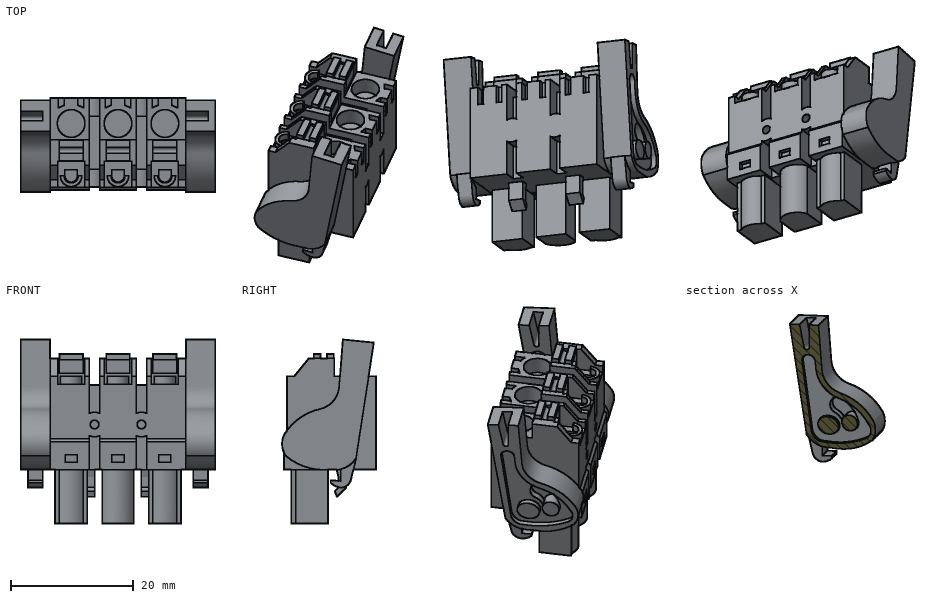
import cadquery as cq


overall_width = 31.68

pole_pitch = 7.62
pole_centers = [-pole_pitch, 0, pole_pitch]
slot_centers = [-pole_pitch / 2, pole_pitch / 2]
housing_width = 22.1
housing_half = housing_width / 2
front_y = -14.5
lip_y = -15.0
housing_top = 15.2
lip_top = 5.05
lip_chamfer = front_y - lip_y

tower_top = 18.1
tower_back = -6.78
tower_slope_back = -10.95
tower_slope_front = -13.3

slot_width = 1.68
slot_depth = 2.95
web_top = 13.8
column_radius = 2.0
column_z = 7.35
column_hole_diameter = 1.4

channel_width = 4.45
channel_back = -10.25
channel_floor = 13.95
collar_y = -12.67
collar_height = housing_top - channel_floor
collar_outer_radius = 1.75
collar_inner_radius = 1.15
entry_radius = 1.0
entry_back = -11.7
entry_depth = 0.63

wire_hole_diameter = 4.5
wire_hole_y = -4.15
wire_hole_depth = 2.88
notch_inner_x = 1.1
notch_outer_x = 2.05
notch_inner_length = 1.17
notch_outer_length = 1.6
notch_depth = wire_hole_depth
window_width = 2.0
window_bottom = 1.2
window_top = 2.4
window_depth = 0.8

outer_plug_width = 5.3
center_plug_width = 5.15
plug_length = 8.78
plug_back = -7.8
plug_front = -13.8
outer_plug_shoulder_y = -13.08
center_plug_shoulder_y = -12.13
outer_plug_bulge = 3.85
latch_width = 2.45
latch_inner_x = 3.77

button_width = 3.85
button_bottom = 15.68
button_top = 18.82
button_inset = 0.1
rib_width = 1.15
recess_depth = 0.85
recess_top = 17.87
button_groove_radius = 0.48

lever_width = (overall_width - housing_width) / 2
lever_starts = [-overall_width / 2, housing_half]
pocket_depth = 0.92
pivot_y = -7.05
pivot_z = 3.9
pivot_half_length = 1.85
pivot_half_height = 1.55
stop_radius = 1.4
stop_y = -10.77
stop_z = 4.8
track_end_y = -8.6
track_end_z = 7.4
track_depth = 1.25
grip_notch_depth = 3.6
hook_width = 2.45


def box(x_min, x_max, y_min, y_max, z_min, z_max):
    """Block between two corners."""
    size = (x_max - x_min, y_max - y_min, z_max - z_min)
    return cq.Workplane("XY").box(*size, centered=False).translate((x_min, y_min, z_min))


def centered_box(x, width, y_min, y_max, z_min, z_max):
    """Block centred on x."""
    return box(x - width / 2, x + width / 2, y_min, y_max, z_min, z_max)


def side_plane(x):
    """YZ work plane at x, on which extrusions run toward +X."""
    return cq.Workplane("YZ", origin=(x, 0, 0))


def housing_block():
    """Extruded side profile with towers, front slope and chamfered lip."""
    profile = [
        (0, 0),
        (lip_y, 0),
        (lip_y, lip_top - lip_chamfer),
        (front_y, lip_top),
        (front_y, housing_top),
        (tower_slope_front, housing_top),
        (tower_slope_back, tower_top),
        (tower_back, tower_top),
        (tower_back, housing_top),
        (0, housing_top),
    ]
    return side_plane(-housing_half).polyline(profile).close().extrude(housing_width)


def pole_slot(x):
    """Slot between two poles: open above the web, and cut into front and back around a round column."""
    above_web = centered_box(x, slot_width, lip_y, 0, web_top, tower_top)
    front_slot = centered_box(x, slot_width, lip_y, front_y + slot_depth, 0, web_top)
    back_slot = centered_box(x, slot_width, -slot_depth, 0, 0, web_top)
    column = cq.Workplane("XZ", origin=(x, 0, column_z)).circle(column_radius).extrude(-front_y)
    slot = above_web.union(front_slot.union(back_slot).cut(column))
    hole = (
        cq.Workplane("XZ", origin=(x, front_y + slot_depth, column_z))
        .circle(column_hole_diameter / 2)
        .extrude(slot_depth)
    )
    return slot.union(hole)


def wire_hole(x):
    """Blind round hole behind the tower."""
    bottom = housing_top - wire_hole_depth
    return (
        cq.Workplane("XY", origin=(x, wire_hole_y, bottom))
        .circle(wire_hole_diameter / 2)
        .extrude(wire_hole_depth)
    )


def back_notch(x, side):
    """Slanted notch in the top back edge, on one side of a pole."""
    inner_x = x + side * notch_inner_x
    outer_x = x + side * notch_outer_x
    outline = [
        (inner_x, 0),
        (outer_x, 0),
        (outer_x, -notch_outer_length),
        (inner_x, -notch_inner_length),
    ]
    return (
        cq.Workplane("XY", origin=(0, 0, housing_top - notch_depth))
        .polyline(outline)
        .close()
        .extrude(notch_depth)
    )


def front_channel(x):
    """Channel in front of the tower, less the half-ring collar that stands on its floor."""
    channel = centered_box(x, channel_width, front_y, channel_back, channel_floor, tower_top)
    ring = (
        cq.Workplane("XY", origin=(x, collar_y, channel_floor))
        .circle(collar_outer_radius)
        .circle(collar_inner_radius)
        .extrude(collar_height)
    )
    front_half = centered_box(x, channel_width, front_y, collar_y, channel_floor, housing_top)
    return channel.cut(ring.intersect(front_half))


def channel_entry(x):
    """U-shaped recess in the channel floor, inside the collar."""
    return (
        cq.Workplane("XY", origin=(x, 0, channel_floor - entry_depth))
        .moveTo(-entry_radius, entry_back)
        .lineTo(-entry_radius, collar_y)
        .threePointArc((0, collar_y - entry_radius), (entry_radius, collar_y))
        .lineTo(entry_radius, entry_back)
        .close()
        .extrude(entry_depth)
    )


def button_slot(x):
    """Slot through the tower that holds the push button."""
    return centered_box(x, button_width, channel_back, tower_back, button_bottom, tower_top)


def front_window(x):
    """Rectangular recess in the lip."""
    return centered_box(x, window_width, lip_y, lip_y + window_depth, window_bottom, window_top)


def plug(x, width, shoulder_y, bulge_width):
    """Plug below one pole, with an arched bulge on its front."""
    body = centered_box(x, width, shoulder_y, plug_back, -plug_length, 0)
    bulge = (
        cq.Workplane("XY", origin=(x, 0, -plug_length))
        .moveTo(-bulge_width / 2, shoulder_y)
        .threePointArc((0, plug_front), (bulge_width / 2, shoulder_y))
        .close()
        .extrude(plug_length)
    )
    return body.union(bulge)


def latch(x_min):
    """Barbed latch hanging from the underside of the housing."""
    profile = [
        (-4.88, 0),
        (-6.43, 0),
        (-6.1, -1.2),
        (-6.1, -2.88),
        (-6.72, -3.5),
        (-6.37, -4.45),
        (-4.88, -2.95),
    ]
    return side_plane(x_min).polyline(profile).close().extrude(latch_width)


def make_housing():
    housing = housing_block()
    for x in slot_centers:
        housing = housing.cut(pole_slot(x))
    for x in pole_centers:
        housing = housing.cut(wire_hole(x))
        housing = housing.cut(back_notch(x, -1)).cut(back_notch(x, 1))
        housing = housing.cut(front_channel(x)).cut(channel_entry(x))
        housing = housing.cut(button_slot(x)).cut(front_window(x))
    for x in (-pole_pitch, pole_pitch):
        housing = housing.union(plug(x, outer_plug_width, outer_plug_shoulder_y, outer_plug_bulge))
    housing = housing.union(plug(0, center_plug_width, center_plug_shoulder_y, center_plug_width))
    for x_min in (-latch_inner_x - latch_width, latch_inner_x):
        housing = housing.union(latch(x_min))
    return housing


def make_button(x):
    """Push button: recessed front, two ribs on top and a round groove between them."""
    rib_back = tower_back - button_inset
    rib_front = channel_back + button_inset
    profile = [
        (tower_back, button_bottom),
        (channel_back + recess_depth, button_bottom),
        (channel_back + recess_depth, recess_top),
        (rib_front, recess_top),
        (rib_front, button_top),
        (rib_front + rib_width, button_top),
        (rib_front + rib_width, tower_top),
        (rib_back - rib_width, tower_top),
        (rib_back - rib_width, button_top),
        (rib_back, button_top),
        (rib_back, tower_top),
        (tower_back, tower_top),
    ]
    left_x = x - button_width / 2
    button = side_plane(left_x).polyline(profile).close().extrude(button_width)
    groove = (
        side_plane(left_x)
        .center((rib_front + rib_back) / 2, tower_top)
        .circle(button_groove_radius)
        .extrude(button_width)
    )
    return button.cut(groove)


def lever_body(x):
    """Handle that widens into a rounded cam."""
    return (
        side_plane(x)
        .moveTo(-0.35, 20.7)
        .lineTo(-5.42, 21.2)
        .lineTo(-6.02, 13.43)
        .tangentArcPoint((-9.1, 9.9), relative=False)
        .tangentArcPoint((-14.92, 5.75), relative=False)
        .threePointArc((-15.3, 4.0), (-14.7, 2.28))
        .threePointArc((-12.05, 0.65), (-8.6, 0))
        .lineTo(-6.05, 0)
        .threePointArc((-4.53, 0.6), (-3.25, 1.85))
        .close()
        .extrude(lever_width)
    )


def lever_pocket(x):
    """Shallow pocket in the -X face that follows the lever outline."""
    return (
        side_plane(x)
        .moveTo(-2.55, 14.67)
        .threePointArc((-3.67, 15.7), (-4.78, 14.55))
        .lineTo(-4.9, 13.25)
        .threePointArc((-5.95, 10.77), (-8.93, 8.8))
        .threePointArc((-11.82, 7.48), (-13.97, 5.07))
        .threePointArc((-14.4, 3.77), (-13.62, 2.57))
        .threePointArc((-10.95, 1.5), (-7.98, 0.95))
        .lineTo(-5.7, 0.95)
        .threePointArc((-4.65, 1.58), (-4.18, 2.5))
        .close()
        .extrude(pocket_depth)
    )


def grip_notch(x):
    """Tapered notch with a round bottom, open at the top and at the -X face."""
    return (
        side_plane(x)
        .moveTo(-2.0, 21.55)
        .lineTo(-2.9, 16.95)
        .threePointArc((-3.33, 16.63), (-3.75, 16.95))
        .lineTo(-3.75, 21.55)
        .close()
        .extrude(grip_notch_depth)
    )


def stop_track(x):
    """Curved track around the pivot, from the stop pin to its far end."""
    swing = cq.Vector(stop_y - pivot_y, stop_z - pivot_z)
    far_swing = cq.Vector(track_end_y - pivot_y, track_end_z - pivot_z)
    track_radius = (swing.Length + far_swing.Length) / 2
    start = swing.normalized()
    end = far_swing.normalized()
    middle = (start + end).normalized()
    inner = track_radius - stop_radius
    outer = track_radius + stop_radius

    def at(direction, radius):
        return (pivot_y + direction.x * radius, pivot_z + direction.y * radius)

    depth = pocket_depth + track_depth
    sweep = (
        side_plane(x)
        .moveTo(*at(start, inner))
        .threePointArc(at(middle, inner), at(end, inner))
        .lineTo(*at(end, outer))
        .threePointArc(at(middle, outer), at(start, outer))
        .close()
        .extrude(depth)
    )
    end_points = [at(start, track_radius), at(end, track_radius)]
    return sweep.union(side_plane(x).pushPoints(end_points).circle(stop_radius).extrude(depth))


def lever_hook(x):
    """Hook below the lever, centred in its width."""
    return (
        side_plane(x + (lever_width - hook_width) / 2)
        .moveTo(-3.23, 1.9)
        .lineTo(-4.1, -1.68)
        .threePointArc((-4.75, -2.6), (-5.73, -2.9))
        .threePointArc((-6.65, -2.65), (-7.38, -2.12))
        .lineTo(-7.38, -1.68)
        .lineTo(-5.75, -1.85)
        .lineTo(-5.75, 0.95)
        .close()
        .extrude(hook_width)
    )


def make_lever(x):
    """Locking lever whose -X face lies at x."""
    pivot_boss = (
        side_plane(x)
        .center(pivot_y, pivot_z)
        .ellipse(pivot_half_length, pivot_half_height)
        .extrude(pocket_depth)
    )
    stop_pin = (
        side_plane(x).center(stop_y, stop_z).circle(stop_radius).extrude(pocket_depth + track_depth)
    )
    lever = lever_body(x).union(lever_hook(x)).cut(grip_notch(x))
    return lever.cut(lever_pocket(x)).cut(stop_track(x)).union(pivot_boss).union(stop_pin)


housing = make_housing()
buttons = [make_button(x) for x in pole_centers]
levers = [make_lever(x) for x in lever_starts]

result = cq.Compound.makeCompound(
    [housing.val(), *[button.val() for button in buttons], *[lever.val() for lever in levers]]
)